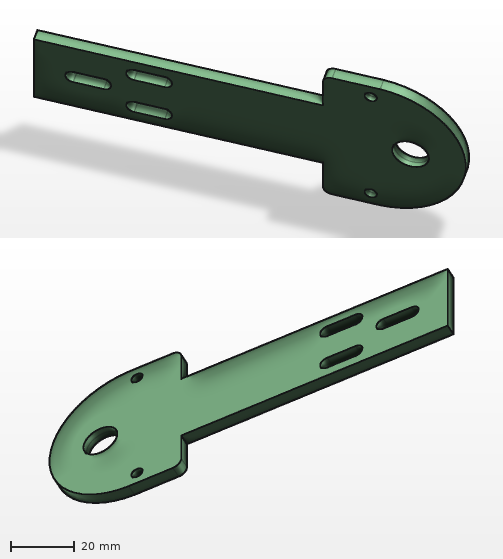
import cadquery as cq

total_length = 142.0
thickness = 4.0
arm_length = 95.0
arm_width = 28.7
head_width = 58.0
head_corner_radius = 3.0
half_head = head_width / 2
head_arc_start_x = 113.7

pivot_diameter = 12.0
pivot_x = 123.8
pin_diameter = 4.0
pin_x = 110.8
pin_offset = 24.0

slot_length = 15.0
slot_width = 5.0
end_slot_x = 17.9
side_slot_x = 37.9
side_slot_offset = 8.0


def make_plate():
    """Straight arm joined to a head with a rounded far end."""
    half_arm = arm_width / 2
    outline = (
        cq.Workplane("XZ")
        .moveTo(0, -half_arm)
        .lineTo(arm_length, -half_arm)
        .lineTo(arm_length, -half_head)
        .lineTo(head_arc_start_x, -half_head)
        .threePointArc((total_length, 0), (head_arc_start_x, half_head))
        .lineTo(arm_length, half_head)
        .lineTo(arm_length, half_arm)
        .lineTo(0, half_arm)
        .close()
    )
    plate = outline.extrude(thickness / 2, both=True)
    for side in (-1, 1):
        corner = cq.selectors.NearestToPointSelector((arm_length, 0, side * half_head))
        plate = plate.edges("|Y").edges(corner).fillet(head_corner_radius)
    return plate


def make_round_cutters(points, diameter):
    return cq.Workplane("XZ").pushPoints(points).circle(diameter / 2).extrude(thickness, both=True)


def make_slot_cutters(points):
    return cq.Workplane("XZ").pushPoints(points).slot2D(slot_length, slot_width).extrude(thickness, both=True)


pin_points = [(pin_x, side * pin_offset) for side in (-1, 1)]
slot_points = [(end_slot_x, 0)] + [(side_slot_x, side * side_slot_offset) for side in (-1, 1)]

result = (
    make_plate()
    .cut(make_round_cutters([(pivot_x, 0)], pivot_diameter))
    .cut(make_round_cutters(pin_points, pin_diameter))
    .cut(make_slot_cutters(slot_points))
)